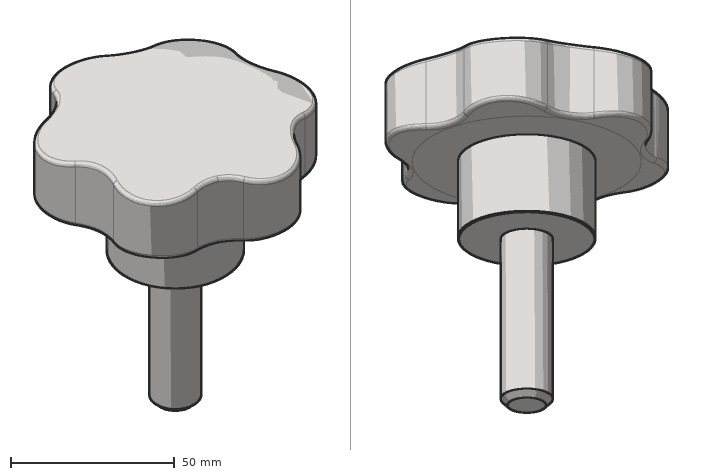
import cadquery as cq
import math

total_height = 110.0
hub_bottom = 55.2
head_bottom = 81.0

stud_diameter = 16.0
stud_chamfer = 2.1
hub_diameter = 42.0
hub_edge_break = 0.3

lobe_count = 6
head_diameter = 90.0
lobe_radius = head_diameter / 6
lobe_center_radius = 2 * lobe_radius
dome_radius = 147.4
underside_flat_radius = 35.0
underside_sweep_radius = 30.8
edge_fillet = 1.5

envelope_margin = 1.1
joint_overlap = 5.5
wall_normal_limit = 0.01

head_radius = head_diameter / 2
lobe_pitch = 2 * math.pi / lobe_count
half_pitch = lobe_pitch / 2
valley_center_radius = lobe_center_radius * math.cos(half_pitch) + math.sqrt(
    (2 * lobe_radius) ** 2 - (lobe_center_radius * math.sin(half_pitch)) ** 2
)
valley_radius = valley_center_radius - lobe_radius


def polar(radius, angle):
    return radius * math.cos(angle), radius * math.sin(angle)


def midpoint(a, b):
    return (a[0] + b[0]) / 2, (a[1] + b[1]) / 2


def lobed_outline():
    """Closed outline of alternating lobe and valley arcs, with one lobe on +Y."""
    first_lobe = math.pi / 2
    first_joint = midpoint(
        polar(lobe_center_radius, first_lobe),
        polar(valley_center_radius, first_lobe - half_pitch),
    )
    outline = cq.Workplane("XY").moveTo(*first_joint)
    for index in range(lobe_count):
        angle = first_lobe + index * lobe_pitch
        lobe_center = polar(lobe_center_radius, angle)
        valley_center = polar(valley_center_radius, angle + half_pitch)
        next_lobe_center = polar(lobe_center_radius, angle + lobe_pitch)
        outline = outline.threePointArc(
            polar(head_radius, angle), midpoint(lobe_center, valley_center)
        )
        outline = outline.threePointArc(
            polar(valley_radius, angle + half_pitch), midpoint(valley_center, next_lobe_center)
        )
    return outline.close()


def dome_height(radius):
    return total_height - dome_radius + math.sqrt(dome_radius**2 - radius**2)


def underside_point(angle):
    """Point on the rising underside arc, which leaves the flat tangentially."""
    return (
        underside_flat_radius + underside_sweep_radius * math.sin(angle),
        head_bottom + underside_sweep_radius * (1 - math.cos(angle)),
    )


def make_head():
    """Lobed prism trimmed by a domed top and an upswept underside, rims rounded."""
    envelope_radius = head_radius + envelope_margin
    sweep = math.asin((envelope_radius - underside_flat_radius) / underside_sweep_radius)
    envelope = (
        cq.Workplane("XZ")
        .moveTo(0, head_bottom)
        .lineTo(underside_flat_radius, head_bottom)
        .threePointArc(underside_point(sweep / 2), underside_point(sweep))
        .lineTo(envelope_radius, dome_height(envelope_radius))
        .threePointArc((envelope_radius / 2, dome_height(envelope_radius / 2)), (0, total_height))
        .close()
        .revolve(360, (0, 0, 0), (0, 1, 0))
    )
    head = lobed_outline().extrude(total_height).intersect(envelope)
    walls = head.faces().filter(lambda face: abs(face.normalAt().z) < wall_normal_limit)
    return walls.edges("not |Z").fillet(edge_fillet)


def make_hub():
    """Plain round hub, reaching into the head so the two fuse."""
    hub = cq.Workplane("XY").workplane(offset=hub_bottom).circle(hub_diameter / 2)
    hub = hub.extrude(head_bottom + joint_overlap - hub_bottom)
    return hub.faces("<Z").edges().chamfer(hub_edge_break)


def make_stud():
    """Smooth stud with a chamfered tip."""
    stud = cq.Workplane("XY").circle(stud_diameter / 2).extrude(hub_bottom + joint_overlap)
    return stud.faces("<Z").chamfer(stud_chamfer)


result = make_head().union(make_hub()).union(make_stud())